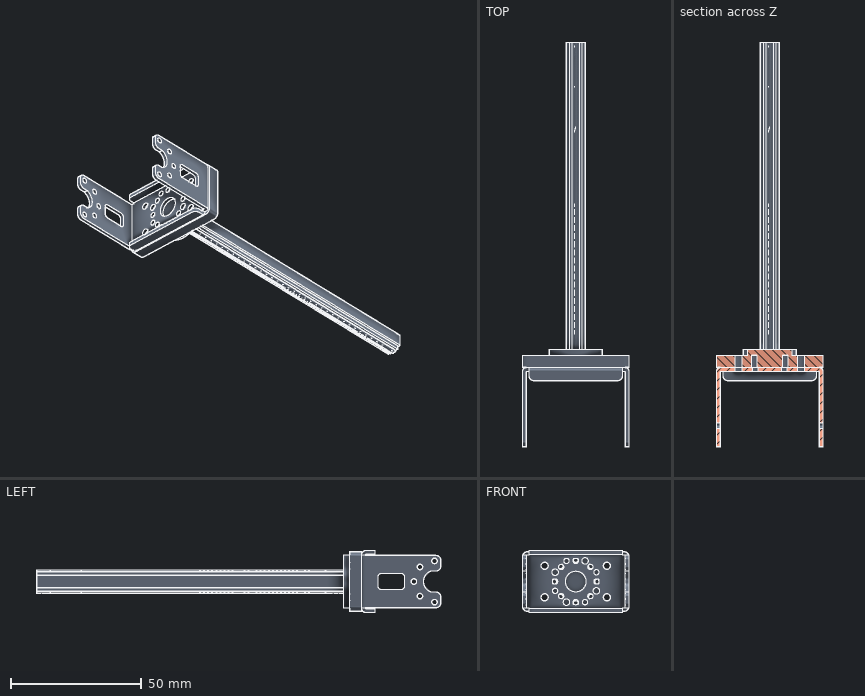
import cadquery as cq
import math

total_length = 155.5
width = 41.0
bracket_depth = 30.5
sheet = 1.5

arm_height = 20.2
lip_span = 36.0
lip_height = 24.0
lip_depth = 5.1
corner_radius = 2.0

pivot_y = 2.5
hub_bore = 8.0
notch_width = 8.0
notch_radius = 4.2
ring_radius = 8.0
arm_hole_step = 45
small_hole = 2.0
wide_hole = 2.5
screw_hole = 2.6
screw_x = 12.0
screw_z = 6.0
offset_near = 3.5
offset_far = 8.0

window_length = 10.1
window_height = 6.0
window_y = 19.1
window_radius = 1.2

block_depth = 4.7
block_height = 23.0
block_radius = 2.0
disc_diameter = 20.5
disc_depth = 2.3
pilot_ring_radius = 8.4
ring_count = 8

rod_width = 7.3
rod_side_half = 2.3
ledge_inner_z = 2.0
ledge_crown_x = 3.3
ledge_rise = 0.19
shoulder_x = 2.5
shoulder_height = 7.3
ripple_pitch = 1.0
ripple_count = 3
crest_z = 4.5
ripple_depth = 0.39
top_drop = 0.23

rod_half_width = rod_width / 2
ledge_crown_z = rod_side_half + ledge_rise
shoulder_z = shoulder_height / 2
top_half_width = ripple_count * ripple_pitch / 2
block_back = bracket_depth + block_depth
disc_back = block_back + disc_depth


def ring_points(radius, count):
    """Evenly spaced (x, z) points on a circle about the Y axis."""
    angles = [2 * math.pi * i / count for i in range(count)]
    return [(radius * math.cos(a), radius * math.sin(a)) for a in angles]


def y_cylinders(points, diameter, y_start, y_end):
    """Cylinders along Y at the given (x, z) points."""
    plane = cq.Workplane("XZ", origin=(0, y_start, 0))
    return plane.pushPoints(points).circle(diameter / 2).extrude(y_start - y_end)


def y_box(size_x, size_z, y_start, y_end):
    """Box centred on the Y axis."""
    box = cq.Workplane("XY").box(size_x, y_end - y_start, size_z)
    return box.translate((0, (y_start + y_end) / 2, 0))


screw_points = [(sx * screw_x, sz * screw_z) for sx in (-1, 1) for sz in (-1, 1)]


def arm_channel():
    channel = y_box(width, arm_height, 0, bracket_depth)
    channel = channel.edges("|Z and >Y").fillet(sheet)
    channel = channel.edges("|X and <Y").fillet(corner_radius)
    return channel.cut(y_box(width - 2 * sheet, arm_height, 0, bracket_depth - sheet))


def lip_channel():
    front = bracket_depth - lip_depth
    channel = y_box(lip_span, lip_height, front, bracket_depth)
    channel = channel.edges("|X and >Y").fillet(sheet)
    channel = channel.edges("|Z and <Y").fillet(corner_radius)
    return channel.cut(y_box(lip_span, lip_height - 2 * sheet, front, bracket_depth - sheet))


def fork_notch():
    """Round-bottomed notch that splits each arm tip into two tongues."""
    half = notch_width / 2
    corner_y = pivot_y + math.sqrt(notch_radius ** 2 - half ** 2)
    outline = cq.Workplane("YZ", origin=(-width / 2, 0, 0)).moveTo(0, -half)
    outline = outline.lineTo(corner_y, -half)
    outline = outline.threePointArc((pivot_y + notch_radius, 0), (corner_y, half))
    return outline.lineTo(0, half).close().extrude(width)


def arm_holes():
    """Five holes around the notch centre, from one tongue round to the other."""
    angles = [math.radians(arm_hole_step * i) for i in range(-2, 3)]
    points = [(ring_radius * math.cos(a), ring_radius * math.sin(a)) for a in angles]
    plane = cq.Workplane("YZ", origin=(-width / 2, pivot_y, 0))
    return plane.pushPoints(points).circle(small_hole / 2).extrude(width)


def arm_window():
    window = cq.Workplane("XY").box(width, window_length, window_height)
    return window.edges("|X").fillet(window_radius).translate((0, window_y, 0))


def plate_holes():
    near = offset_near
    far = offset_far
    wide_points = [(near, far), (-far, near), (-near, -far), (far, -near)]
    narrow_points = [(-x, z) for x, z in wide_points]
    front = bracket_depth - sheet
    holes = y_cylinders([(0, 0)], hub_bore, front, bracket_depth)
    for points, diameter in (
        (ring_points(ring_radius, ring_count), small_hole),
        (wide_points, wide_hole),
        (narrow_points, small_hole),
        (screw_points, screw_hole),
    ):
        holes = holes.add(y_cylinders(points, diameter, front, bracket_depth))
    return holes


def make_bracket():
    body = arm_channel().cut(fork_notch())
    edge_zone = cq.selectors.BoxSelector((-width, -sheet, -notch_width), (width, sheet, notch_width))
    body = body.edges("|X").edges(edge_zone).fillet(corner_radius)
    body = body.cut(arm_holes()).cut(arm_window()).union(lip_channel())
    for hole in plate_holes().vals():
        body = body.cut(cq.Workplane(hole))
    return body


def base_block():
    block = y_box(width, block_height, bracket_depth, block_back)
    block = block.edges("|Y").fillet(block_radius)
    block = block.cut(y_cylinders(screw_points, screw_hole, bracket_depth, block_back))
    pilots = ring_points(pilot_ring_radius, ring_count)
    return block.cut(y_cylinders(pilots, small_hole, bracket_depth, block_back))


def ripple_points():
    """Valleys and crests in turn across the domed top, from its right edge to its left."""
    points = []
    for i in range(2 * ripple_count + 1):
        x = top_half_width - i * ripple_pitch / 2
        dome_z = crest_z - top_drop * (x / top_half_width) ** 2
        is_crest = i % 2 == 1
        points.append((x, dome_z if is_crest else dome_z - ripple_depth))
    return points


def rod_profile(plane):
    """Upper half: side, crowned ledge, shoulder and rippled top; the lower half mirrors it."""
    outline = plane.moveTo(rod_half_width, 0)
    outline = outline.lineTo(rod_half_width, rod_side_half)
    outline = outline.threePointArc((ledge_crown_x, ledge_crown_z), (shoulder_x, ledge_inner_z))
    outline = outline.lineTo(shoulder_x, shoulder_z)
    outline = outline.lineTo(top_half_width, shoulder_z)
    first_valley, *other_points = ripple_points()
    outline = outline.lineTo(*first_valley)
    outline = outline.spline(other_points, tangents=[(-1, 0), (-1, 0)], includeCurrent=True)
    outline = outline.lineTo(-top_half_width, shoulder_z)
    outline = outline.lineTo(-shoulder_x, shoulder_z)
    outline = outline.lineTo(-shoulder_x, ledge_inner_z)
    outline = outline.threePointArc((-ledge_crown_x, ledge_crown_z), (-rod_half_width, rod_side_half))
    outline = outline.lineTo(-rod_half_width, 0)
    return outline.close()


def make_rod():
    plane = cq.Workplane("XZ", origin=(0, disc_back, 0))
    upper = rod_profile(plane).extrude(disc_back - total_length)
    return upper.union(upper.mirror("XY"))


def make_mast():
    disc = y_cylinders([(0, 0)], disc_diameter, block_back, disc_back)
    return base_block().union(disc).union(make_rod())


bracket = make_bracket()
mast = make_mast()

result = cq.Compound.makeCompound([*bracket.solids().vals(), *mast.solids().vals()])